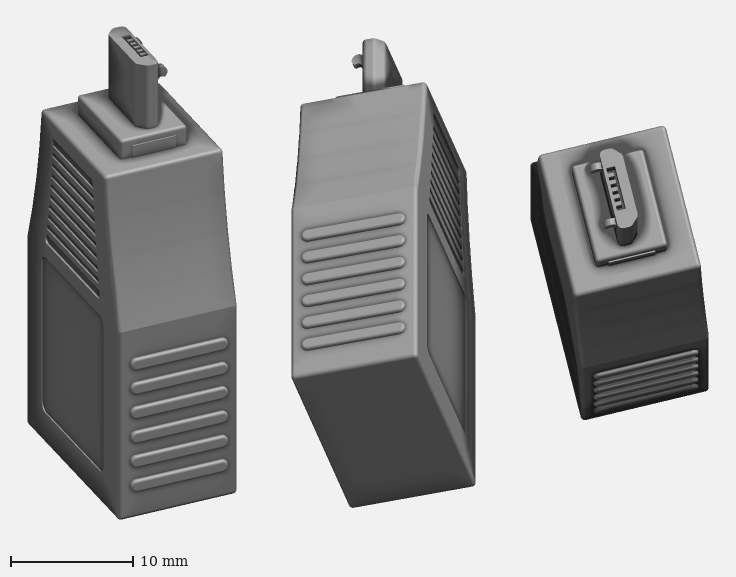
import cadquery as cq

OVERALL_HEIGHT = 38.9
OVERALL_WIDTH = 18.55

HOUSING_HEIGHT = 31.1
HOUSING_DEPTH = 10.77
SHOULDER_Z = 17.8
TOP_HALF_WIDTH = 6.2
WAIST_SAG = 0.4
HOUSING_ROUND = 0.35

RIB_COUNT = 6
RIB_PITCH = 2.3
FIRST_RIB_Z = 3.1
RIB_PROUD = 0.35
RIB_LENGTH = 8.83
RIB_THICKNESS = 1.13
RIB_ROUND = 0.25

PANEL_BOTTOM_Z = 19.0
PANEL_TOP_Z = 29.6
PANEL_BOTTOM_HALF_WIDTH = 5.33
PANEL_TOP_HALF_WIDTH = 3.9
PANEL_SAG = 0.15
PANEL_CORNER = 0.4
PANEL_DEPTH = 0.2
RIDGE_COUNT = 9
RIDGE_PITCH = 1.05
RIDGE_THICKNESS = 0.55
RIDGE_HEIGHT = 0.15
FIRST_RIDGE_Z = 19.85

LABEL_WIDTH = 11.9
LABEL_BOTTOM_Z = 2.9
LABEL_TOP_Z = 17.6
LABEL_CORNER = 0.78
LABEL_DEPTH = 0.1

COLLAR_WIDTH = 8.4
COLLAR_DEPTH = 6.03
COLLAR_TOP_Z = 32.9
COLLAR_ROUND = 0.27
PAD_PROUD = 0.1
PAD_DEPTH = 3.93
PAD_TOP_Z = 32.25

PLUG_WIDTH = 6.8
PLUG_DEPTH = 1.83
PLUG_BEVEL = 0.75
PLUG_ROUND = 0.45

SLOT_WIDTH = 3.7
SLOT_BACK_Y = 0.65
SLOT_FRONT_Y = -0.08
SLOT_DEPTH = 1.15
CONTACT_COUNT = 5
CONTACT_PITCH = 0.62
CONTACT_WIDTH = 0.3
CONTACT_THICKNESS = 0.5
CONTACT_SETBACK = 0.1

LATCH_SPACING = 4.82
LATCH_WIDTH = 0.55

LATCH_ROOT_Z = 37.85
LATCH_NECK = (1.13, 38.0)
LATCH_CROWN = (1.35, 38.07)
LATCH_NOSE = (1.95, 37.53)
LATCH_TIP = (1.7, 37.02)
LATCH_NOTCH = (1.4, 37.15)
LATCH_HOLLOW = (1.13, 36.95)
LATCH_FOOT = (1.05, 36.48)

HALF_WIDTH = OVERALL_WIDTH / 2 - RIB_PROUD
FRONT_Y = -HOUSING_DEPTH / 2
PLUG_BACK_Y = PLUG_DEPTH / 2


def box(x_limits, y_limits, z_limits):
    """A box between the given limits along X, Y and Z."""
    size = [limits[1] - limits[0] for limits in (x_limits, y_limits, z_limits)]
    corner = (x_limits[0], y_limits[0], z_limits[0])
    return cq.Workplane("XY").box(*size, centered=False).translate(corner)


def centred(size):
    """Limits of a length centred on zero."""
    return -size / 2, size / 2


def flank_middle(lower, upper, sag):
    """Middle of a flank from lower to upper, bowed towards the centre line by sag."""
    return (lower[0] + upper[0]) / 2 - sag, (lower[1] + upper[1]) / 2


def mirrored(point):
    """The same point on the other side of the centre line."""
    return -point[0], point[1]


def make_panel_prism():
    """Plain recess of the thumb panel, from the front face down to its floor."""
    lower = (PANEL_BOTTOM_HALF_WIDTH, PANEL_BOTTOM_Z)
    upper = (PANEL_TOP_HALF_WIDTH, PANEL_TOP_Z)
    middle = flank_middle(lower, upper, PANEL_SAG)
    return (
        cq.Workplane("XZ", origin=(0, FRONT_Y, 0))
        .moveTo(*mirrored(lower))
        .lineTo(*lower)
        .threePointArc(middle, upper)
        .lineTo(*mirrored(upper))
        .threePointArc(mirrored(middle), mirrored(lower))
        .close()
        .extrude(-PANEL_DEPTH)
        .edges("|Y")
        .fillet(PANEL_CORNER)
    )


def make_thumb_recess():
    """The material taken out for the thumb panel, with its ridges left standing."""
    recess = make_panel_prism()
    floor_y = FRONT_Y + PANEL_DEPTH
    for index in range(RIDGE_COUNT):
        ridge_z = FIRST_RIDGE_Z + index * RIDGE_PITCH
        ridge = box(
            centred(2 * PANEL_BOTTOM_HALF_WIDTH),
            (floor_y - RIDGE_HEIGHT, floor_y),
            (ridge_z, ridge_z + RIDGE_THICKNESS),
        )
        recess = recess.cut(ridge)
    return recess


def make_label_recess():
    """The shallow rounded rectangle below the thumb panel."""
    recess = box(
        centred(LABEL_WIDTH),
        (FRONT_Y, FRONT_Y + LABEL_DEPTH),
        (LABEL_BOTTOM_Z, LABEL_TOP_Z),
    )
    return recess.edges("|Y").fillet(LABEL_CORNER)


def make_side_rib(side, centre_z):
    """A round-ended rib on the side face at +X (side 1) or -X (side -1)."""
    return (
        cq.Workplane("YZ", origin=(side * HALF_WIDTH, 0, centre_z))
        .slot2D(RIB_LENGTH, RIB_THICKNESS)
        .extrude(side * RIB_PROUD)
        .faces(">X" if side > 0 else "<X")
        .edges()
        .fillet(RIB_ROUND)
    )


def make_housing():
    """Waisted housing with front recesses and side ribs."""
    shoulder = (HALF_WIDTH, SHOULDER_Z)
    top = (TOP_HALF_WIDTH, HOUSING_HEIGHT)
    middle = flank_middle(shoulder, top, WAIST_SAG)
    housing = (
        cq.Workplane("XZ", origin=(0, HOUSING_DEPTH / 2, 0))
        .moveTo(-HALF_WIDTH, 0)
        .lineTo(HALF_WIDTH, 0)
        .lineTo(*shoulder)
        .threePointArc(middle, top)
        .lineTo(*mirrored(top))
        .threePointArc(mirrored(middle), mirrored(shoulder))
        .close()
        .extrude(HOUSING_DEPTH)
    )
    housing = housing.faces("<Y or >Y or <Z or >Z").edges().fillet(HOUSING_ROUND)
    housing = housing.cut(make_thumb_recess()).cut(make_label_recess())
    for index in range(RIB_COUNT):
        for side in (-1, 1):
            housing = housing.union(make_side_rib(side, FIRST_RIB_Z + index * RIB_PITCH))
    return housing


def make_plug_bar():
    """Solid flat bar standing on the housing, its front corners bevelled and all corners rounded."""
    bar = box(centred(PLUG_WIDTH), centred(PLUG_DEPTH), (HOUSING_HEIGHT, OVERALL_HEIGHT))
    bar = bar.edges("|Z and <Y").chamfer(PLUG_BEVEL)
    return bar.edges("|Z").fillet(PLUG_ROUND)


def make_collar():
    """Rounded block with a thin pad on each side and a hole that the plug passes through."""
    block = box(centred(COLLAR_WIDTH), centred(COLLAR_DEPTH), (HOUSING_HEIGHT, COLLAR_TOP_Z))
    block = block.edges("|Z or >Z").fillet(COLLAR_ROUND)
    pads = box(
        centred(COLLAR_WIDTH + 2 * PAD_PROUD),
        centred(PAD_DEPTH),
        (HOUSING_HEIGHT, PAD_TOP_Z),
    )
    return block.union(pads).cut(make_plug_bar())


def make_contact_slot():
    """The material taken out of the plug's end, with the contacts left standing."""
    slot_bottom_z = OVERALL_HEIGHT - SLOT_DEPTH
    slot = box(
        centred(SLOT_WIDTH), (SLOT_FRONT_Y, SLOT_BACK_Y), (slot_bottom_z, OVERALL_HEIGHT)
    )
    for index in range(CONTACT_COUNT):
        centre_x = (index - (CONTACT_COUNT - 1) / 2) * CONTACT_PITCH
        contact = box(
            (centre_x - CONTACT_WIDTH / 2, centre_x + CONTACT_WIDTH / 2),
            (SLOT_BACK_Y - CONTACT_THICKNESS, SLOT_BACK_Y),
            (slot_bottom_z, OVERALL_HEIGHT - CONTACT_SETBACK),
        )
        slot = slot.cut(contact)
    return slot


def make_latch(centre_x):
    """A hook with a rounded nose pointing back and a curved foot."""
    return (
        cq.Workplane("YZ", origin=(centre_x - LATCH_WIDTH / 2, 0, 0))
        .moveTo(PLUG_BACK_Y, LATCH_ROOT_Z)
        .threePointArc(LATCH_NECK, LATCH_CROWN)
        .threePointArc(LATCH_NOSE, LATCH_TIP)
        .lineTo(*LATCH_NOTCH)
        .threePointArc(LATCH_HOLLOW, LATCH_FOOT)
        .lineTo(PLUG_BACK_Y, LATCH_FOOT[1])
        .close()
        .extrude(LATCH_WIDTH)
    )


def make_plug():
    """Plug bar with its contact slot and two latch hooks."""
    plug = make_plug_bar().cut(make_contact_slot())
    for centre_x in centred(LATCH_SPACING):
        plug = plug.union(make_latch(centre_x))
    return plug


housing = make_housing()
collar = make_collar()
plug = make_plug()

bodies = [body.solids().val() for body in (housing, collar, plug)]
result = cq.Compound.makeCompound(bodies)